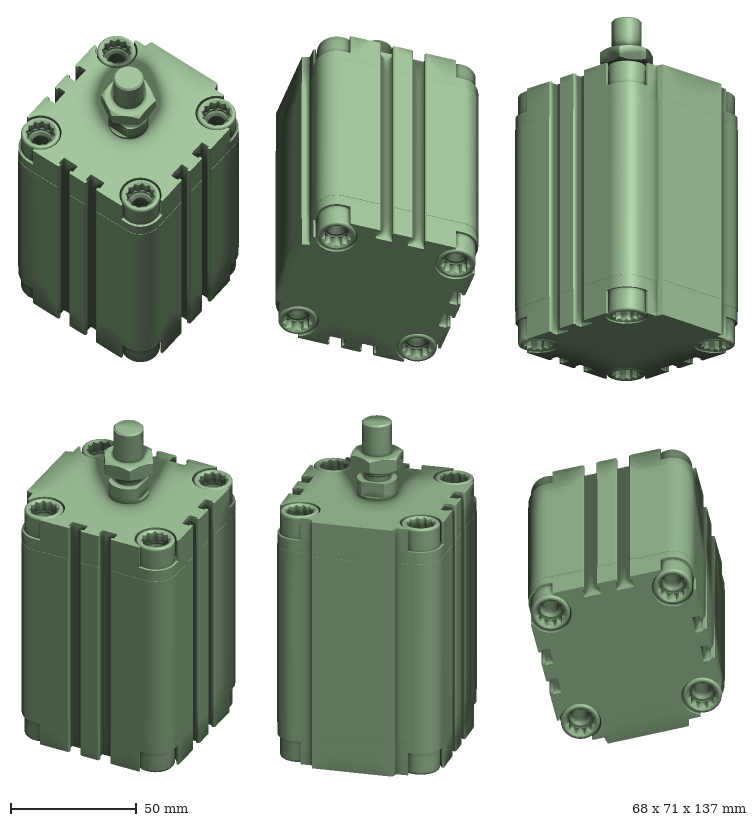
import cadquery as cq
import math


TOTAL_HEIGHT = 137.0
HOUSING_HEIGHT = 105.6
HOUSING_WIDTH = 68.0
HALF_WIDTH = HOUSING_WIDTH / 2

CAP_HEIGHT = 14.7
CAP_INSET = 0.1
SCREW_PITCH = 50.0
SCREW_OFFSET = SCREW_PITCH / 2
CORNER_RADIUS = HALF_WIDTH - SCREW_OFFSET

RAIL_HEIGHT = 3.0
RAIL_BASE_HALF = 17.4
RAIL_TOP_HALF = 16.6

SLOT_OFFSET = 6.7
SLOT_NECK_WIDTH = 5.1
SLOT_WIDTH = 7.0
SLOT_DEPTH = 5.0
SLOT_LIP = 1.5
SLOT_CORNER_RADIUS = 0.4
SLOT_EDGE_CHAMFER = 0.5

HEAD_DIAMETER = 15.6
HEAD_HEIGHT = 9.6
HEAD_EDGE_RADIUS = 1.1
POCKET_DIAMETER = 16.7
CORNER_CUT_REACH = 2.9
SOCKET_POINTS = 12
SOCKET_OUTER_DIAMETER = 12.0
SOCKET_INNER_DIAMETER = 10.4
SOCKET_STAR_DEPTH = 5.0
SOCKET_DEPTH = 5.8
SOCKET_MOUTH_DIAMETER = 12.9
SOCKET_MOUTH_DEPTH = 0.8
BORE_DIAMETER = 6.7
BORE_MOUTH_DIAMETER = 8.6

ROD_DIAMETER = 16.0
ROD_SHOULDER = 7.0
ROD_FLATS_WIDTH = 13.0
ROD_FLATS_START = 1.1
GROOVE_DIAMETER = 10.4
THREAD_START = 9.0
THREAD_DIAMETER = 12.0
THREAD_END_DIAMETER = 10.7
THREAD_CHAMFER = (THREAD_DIAMETER - THREAD_END_DIAMETER) / 2

NUT_ACROSS_FLATS = 19.0
NUT_HEIGHT = 6.0
NUT_START = 12.0
NUT_CHAMFER_ANGLE = 30.0


def profile_block(height, inset):
    """Rounded square with the rail on +Y, extruded from Z = 0, set back evenly all round."""
    width = HOUSING_WIDTH - 2 * inset
    block = (
        cq.Workplane("XY")
        .rect(width, width)
        .extrude(height)
        .edges("|Z")
        .fillet(CORNER_RADIUS - inset)
    )
    rail_top = HALF_WIDTH + RAIL_HEIGHT - inset
    rail = (
        cq.Workplane("XY")
        .polyline([
            (-RAIL_BASE_HALF, 0),
            (-RAIL_BASE_HALF, HALF_WIDTH),
            (-RAIL_TOP_HALF, rail_top),
            (RAIL_TOP_HALF, rail_top),
            (RAIL_BASE_HALF, HALF_WIDTH),
            (RAIL_BASE_HALF, 0),
        ])
        .close()
        .extrude(height)
    )
    return block.union(rail)


def t_slot():
    """Cutter for one T-slot open to -Y, as long as the housing."""
    neck = cq.Workplane("XY").rect(SLOT_NECK_WIDTH, 2 * SLOT_DEPTH).extrude(HOUSING_HEIGHT)
    wide_depth = SLOT_DEPTH - SLOT_LIP
    wide = (
        cq.Workplane("XY")
        .center(0, SLOT_LIP + wide_depth / 2)
        .rect(SLOT_WIDTH, wide_depth)
        .extrude(HOUSING_HEIGHT)
        .edges("|Z")
        .fillet(SLOT_CORNER_RADIUS)
    )
    half_neck = SLOT_NECK_WIDTH / 2
    flare = (
        cq.Workplane("XY")
        .polyline([
            (-half_neck - SLOT_EDGE_CHAMFER, 0),
            (half_neck + SLOT_EDGE_CHAMFER, 0),
            (half_neck, SLOT_EDGE_CHAMFER),
            (-half_neck, SLOT_EDGE_CHAMFER),
        ])
        .close()
        .extrude(HOUSING_HEIGHT)
    )
    return neck.union(wide).union(flare).translate((0, -HALF_WIDTH, 0))


def corner_pocket():
    """Cutter that frees the head: round pocket plus the open corner, for the (-X, -Y) corner."""
    base = cq.Workplane("XY").workplane(offset=-HEAD_HEIGHT)
    pocket = base.circle(POCKET_DIAMETER / 2).extrude(HEAD_HEIGHT)
    side = CORNER_RADIUS + CORNER_CUT_REACH
    middle = CORNER_CUT_REACH - side / 2
    corner = base.center(middle, middle).rect(side, side).extrude(HEAD_HEIGHT)
    return pocket.union(corner)


def socket_star():
    points = []
    for i in range(2 * SOCKET_POINTS):
        angle = math.pi * i / SOCKET_POINTS
        radius = (SOCKET_INNER_DIAMETER if i % 2 else SOCKET_OUTER_DIAMETER) / 2
        points.append((radius * math.cos(angle), radius * math.sin(angle)))
    return cq.Workplane("XY").polyline(points).close().extrude(-SOCKET_STAR_DEPTH)


def screw_head():
    """Round-edged head with its top at Z = 0 and a twelve-point socket."""
    head = (
        cq.Workplane("XY")
        .circle(HEAD_DIAMETER / 2)
        .extrude(-HEAD_HEIGHT)
        .faces(">Z")
        .fillet(HEAD_EDGE_RADIUS)
    )
    mouth = cq.Workplane(cq.Solid.makeCone(
        SOCKET_INNER_DIAMETER / 2, SOCKET_MOUTH_DIAMETER / 2, SOCKET_MOUTH_DEPTH,
        cq.Vector(0, 0, -SOCKET_MOUTH_DEPTH),
    ))
    floor_recess = cq.Workplane("XY").circle(SOCKET_INNER_DIAMETER / 2).extrude(-SOCKET_DEPTH)
    bore_mouth_depth = (BORE_MOUTH_DIAMETER - BORE_DIAMETER) / 2
    bore_mouth = cq.Workplane(cq.Solid.makeCone(
        BORE_DIAMETER / 2, BORE_MOUTH_DIAMETER / 2, bore_mouth_depth,
        cq.Vector(0, 0, -SOCKET_DEPTH - bore_mouth_depth),
    ))
    return head.cut(socket_star()).cut(mouth).cut(floor_recess).cut(bore_mouth)


def at_corners(top_feature):
    """Copies of a feature of the (-X, -Y) top corner, at all corners of both ends."""
    upper = top_feature.translate((-SCREW_OFFSET, -SCREW_OFFSET, HOUSING_HEIGHT))
    lower = upper.mirror("XY", (0, 0, HOUSING_HEIGHT / 2))
    copies = []
    for feature in (upper, lower):
        for quarter in range(4):
            copies.append(feature.rotate((0, 0, 0), (0, 0, 1), 90 * quarter))
    return copies


def make_housing():
    tube_height = HOUSING_HEIGHT - 2 * CAP_HEIGHT
    body = profile_block(tube_height, 0).translate((0, 0, CAP_HEIGHT))
    cap = profile_block(CAP_HEIGHT, CAP_INSET)
    for bottom in (0, HOUSING_HEIGHT - CAP_HEIGHT):
        body = body.union(cap.translate((0, 0, bottom)))

    for side_angle in (-90, 0, 90):
        for offset in (-SLOT_OFFSET, SLOT_OFFSET):
            slot = t_slot().translate((offset, 0, 0))
            body = body.cut(slot.rotate((0, 0, 0), (0, 0, 1), side_angle))

    for pocket in at_corners(corner_pocket()):
        body = body.cut(pocket)
    for head in at_corners(screw_head()):
        body = body.union(head)

    bores = (
        cq.Workplane("XY")
        .rect(SCREW_PITCH, SCREW_PITCH, forConstruction=True)
        .vertices()
        .circle(BORE_DIAMETER / 2)
        .extrude(HOUSING_HEIGHT)
    )
    return body.cut(bores)


def make_rod():
    length = TOTAL_HEIGHT - HOUSING_HEIGHT
    rod = (
        cq.Workplane("XZ")
        .polyline([
            (0, 0),
            (ROD_DIAMETER / 2, 0),
            (ROD_DIAMETER / 2, ROD_SHOULDER),
            (GROOVE_DIAMETER / 2, ROD_SHOULDER),
            (GROOVE_DIAMETER / 2, THREAD_START),
            (THREAD_END_DIAMETER / 2, THREAD_START),
            (THREAD_DIAMETER / 2, THREAD_START + THREAD_CHAMFER),
            (THREAD_DIAMETER / 2, length - THREAD_CHAMFER),
            (THREAD_END_DIAMETER / 2, length),
            (0, length),
        ])
        .close()
        .revolve(360, (0, 0, 0), (0, 1, 0))
    )
    flats_height = ROD_SHOULDER - ROD_FLATS_START
    for side in (-1, 1):
        flat = (
            cq.Workplane("XY")
            .workplane(offset=ROD_FLATS_START)
            .center(0, side * (ROD_FLATS_WIDTH + ROD_DIAMETER) / 2)
            .rect(ROD_DIAMETER, ROD_DIAMETER)
            .extrude(flats_height)
        )
        rod = rod.cut(flat)
    return rod.translate((0, 0, HOUSING_HEIGHT))


def make_nut():
    across_corners = NUT_ACROSS_FLATS / math.cos(math.pi / 6)
    hexagon = (
        cq.Workplane("XY")
        .polygon(6, across_corners)
        .extrude(NUT_HEIGHT)
        .rotate((0, 0, 0), (0, 0, 1), 30)
    )
    corner_reach = (across_corners - NUT_ACROSS_FLATS) / 2
    drop = corner_reach * math.tan(math.radians(NUT_CHAMFER_ANGLE))
    turned_blank = (
        cq.Workplane("XZ")
        .polyline([
            (0, 0),
            (NUT_ACROSS_FLATS / 2, 0),
            (across_corners / 2, drop),
            (across_corners / 2, NUT_HEIGHT - drop),
            (NUT_ACROSS_FLATS / 2, NUT_HEIGHT),
            (0, NUT_HEIGHT),
        ])
        .close()
        .revolve(360, (0, 0, 0), (0, 1, 0))
    )
    thread_hole = cq.Workplane("XY").circle(THREAD_DIAMETER / 2).extrude(NUT_HEIGHT)
    nut = hexagon.intersect(turned_blank).cut(thread_hole)
    return nut.translate((0, 0, HOUSING_HEIGHT + NUT_START))


housing = make_housing()
rod = make_rod()
nut = make_nut()

result = cq.Compound.makeCompound([housing.val(), rod.val(), nut.val()])